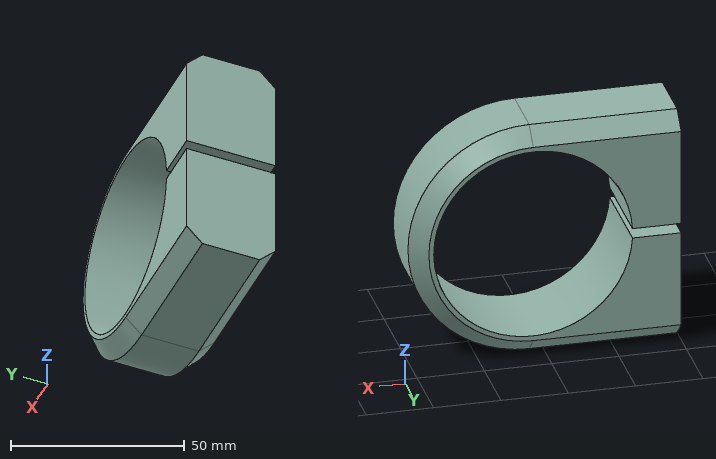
import cadquery as cq

width = 28.0
outer_radius = 36.0
bore_diameter = 59.0
flat_length = 44.0
slot_width = 3.0
chamfer = 5.0


def clamp_body():
    """D-shaped block centred on the bore axis, with its outer rim chamfered."""
    profile = (
        cq.Workplane("XZ")
        .moveTo(-flat_length, -outer_radius)
        .lineTo(0, -outer_radius)
        .threePointArc((outer_radius, 0), (0, outer_radius))
        .lineTo(-flat_length, outer_radius)
        .close()
    )
    block = profile.extrude(width / 2, both=True)
    rim_edges = block.faces("<Y or >Y").edges("not <X")
    return rim_edges.chamfer(chamfer)


def bore():
    """Round through hole along Y, turned so its seam falls inside the slot."""
    cylinder = cq.Workplane("XZ").circle(bore_diameter / 2).extrude(width / 2, both=True)
    return cylinder.rotate((0, 0, 0), (0, 1, 0), 180)


def split_slot():
    """Slot from the flat end into the bore."""
    return cq.Workplane("XY").box(flat_length, width, slot_width).translate((-flat_length / 2, 0, 0))


result = clamp_body().cut(bore()).cut(split_slot())